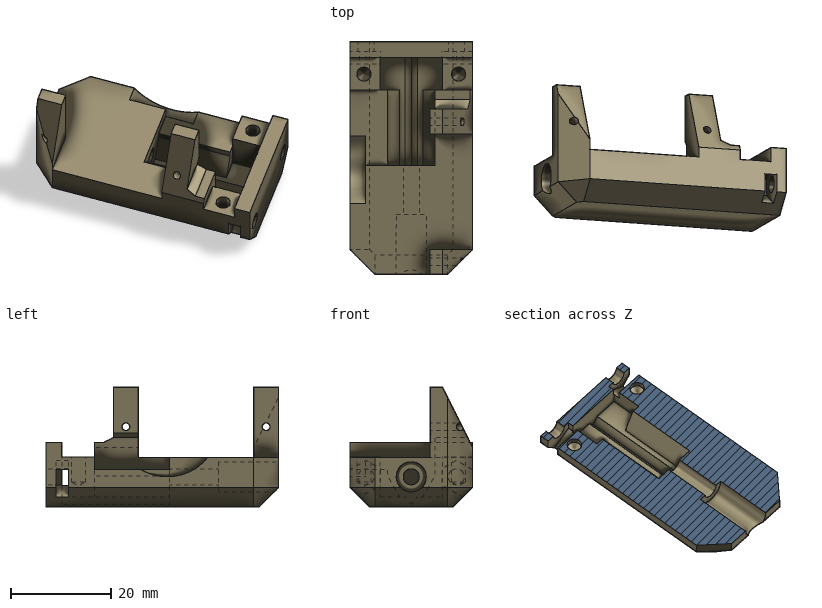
import cadquery as cq
import math


width = 24.5
length = 46.5
deck_height = 9.9
bottom_chamfer = 3.9
corner_chamfer = 5.0
half_width = width / 2

wall_thickness = 3.2
wall_height = 12.9
wall_front = length - wall_thickness
boss_width = 6.0
boss_length = 6.5
boss_height = 10.0
boss_front = wall_front - boss_length
boss_inner = half_width - boss_width

shaft_height = 6.0
bearing_diameter = 6.0
bearing_depth = 12.0
shaft_diameter = 3.2

pocket_front = 21.8
pocket_floor = 7.5
trough_half_width = 4.7
trough_floor_half_width = 2.3
trough_side_angle = 60
trough_floor = 2.0
groove_half_width = 1.2
groove_depth = 1.5

post_inner = half_width - 8.5
post_top_width = 2.5
post_length = 5.0
post_height = 23.9
post_slope = 2.0
rear_post_front = 28.0
rear_post_back = rear_post_front + post_length
pin_diameter = 1.5
pin_height = 16.0
overhang = trough_half_width - post_inner
overhang_height = 14.8
buttress_flat_front = 34.9
buttress_height = wall_height

relief_radius = 10.3
relief_depth = 3.1
relief_bottom = 6.0
relief_centre_y = 22.25

screw_diameter = 2.8
screw_depth = 5.0
screw_y = 40.0
screw_x = half_width - 2.8
drill_tip_angle = 118

nut_flats = 5.7
nut_side = nut_flats / math.sqrt(3)
nut_x = half_width - 3.25
nut_slot_front = 42.0
nut_slot_back = 44.5
nut_slot_drop_angle = 30
nut_slot_reach = 8.0
wall_screw_diameter = 3.2


def box(x0, x1, y0, y1, z0, z1):
    """Axis-aligned block between two opposite corners."""
    return cq.Workplane("XY").box(x1 - x0, y1 - y0, z1 - z0, centered=False).translate((x0, y0, z0))


def extrude_along_y(points, y0, y1):
    """Extrude an outline of (x, z) points from y0 to y1."""
    profile = cq.Workplane("XZ", origin=(0, y0, 0)).polyline(points).close()
    return profile.extrude(y0 - y1)


def extrude_along_x(points, x0, x1):
    """Extrude an outline of (y, z) points from x0 to x1."""
    profile = cq.Workplane("YZ", origin=(x0, 0, 0)).polyline(points).close()
    return profile.extrude(x1 - x0)


def cylinder_along_y(x, z, diameter, y0, y1):
    """Cylinder parallel to Y from y0 to y1."""
    return cq.Workplane("XZ", origin=(x, y0, z)).circle(diameter / 2).extrude(y0 - y1)


def cut_corner_outline(inset):
    """Plan outline with cut front corners, inset from the sides and front but not from the rear."""
    side = half_width - inset
    return [
        (-side, length),
        (-side, corner_chamfer),
        (corner_chamfer - half_width, inset),
        (half_width - corner_chamfer, inset),
        (side, corner_chamfer),
        (side, length),
    ]


def make_body():
    """Block with cut front corners that tapers to a smaller underside."""
    taper = (
        cq.Workplane("XY")
        .polyline(cut_corner_outline(bottom_chamfer)).close()
        .workplane(offset=bottom_chamfer)
        .polyline(cut_corner_outline(0)).close()
        .loft(ruled=True)
    )
    upper = (
        cq.Workplane("XY", origin=(0, 0, bottom_chamfer))
        .polyline(cut_corner_outline(0)).close()
        .extrude(deck_height - bottom_chamfer)
    )
    wall = box(-half_width, half_width, wall_front, length, bottom_chamfer, wall_height)
    boss_deck = box(-half_width, half_width, boss_front, wall_front, bottom_chamfer, boss_height)
    return taper.union(upper).union(wall).union(boss_deck)


def cut_cavities(body):
    """Pocket open to the -X side, passage between the bosses, trough and V groove."""
    pocket = box(-half_width, trough_half_width, pocket_front, boss_front, pocket_floor, boss_height)
    passage = box(-boss_inner, boss_inner, boss_front, wall_front, trough_floor, boss_height)
    side_run = trough_half_width - trough_floor_half_width
    slope_top = trough_floor + side_run * math.tan(math.radians(trough_side_angle))
    trough = extrude_along_y(
        [
            (-trough_half_width, pocket_floor),
            (-trough_half_width, slope_top),
            (-trough_floor_half_width, trough_floor),
            (trough_floor_half_width, trough_floor),
            (trough_half_width, slope_top),
            (trough_half_width, pocket_floor),
        ],
        pocket_front,
        boss_front,
    )
    groove = extrude_along_y(
        [
            (-groove_half_width, trough_floor),
            (0, trough_floor - groove_depth),
            (groove_half_width, trough_floor),
        ],
        pocket_front,
        wall_front,
    )
    return body.cut(pocket).cut(passage).cut(trough).cut(groove)


def cut_shaft_bore(body):
    """Bearing bore from the front, then the shaft hole on to the pocket."""
    bearing = cylinder_along_y(0, shaft_height, bearing_diameter, 0, bearing_depth)
    shaft = cylinder_along_y(0, shaft_height, shaft_diameter, 0, pocket_front)
    return body.cut(bearing).cut(shaft)


def make_post(y0, y1):
    """Upright with a vertical inner face and a sloping outer face."""
    slope_top = post_inner + post_top_width
    slope_end_height = post_height - post_slope * (half_width - slope_top)
    return extrude_along_y(
        [
            (post_inner, bottom_chamfer),
            (post_inner, post_height),
            (slope_top, post_height),
            (half_width, slope_end_height),
            (half_width, bottom_chamfer),
        ],
        y0,
        y1,
    )


def make_front_post():
    """Upright at the front edge, trimmed by the cut corner of the body."""
    corner_prism = (
        cq.Workplane("XY").polyline(cut_corner_outline(0)).close().extrude(post_height)
    )
    return make_post(0, post_length).intersect(corner_prism)


def make_rear_post():
    """Upright with a buttress to the boss, overhanging the pocket above a 45 degree underside."""
    block = make_post(rear_post_front, boss_front)
    shoulder_height = overhang_height - overhang
    above_buttress = extrude_along_x(
        [
            (rear_post_back, post_height),
            (rear_post_back, shoulder_height),
            (buttress_flat_front, buttress_height),
            (boss_front, buttress_height),
            (boss_front, post_height),
        ],
        post_inner,
        half_width,
    )
    below_overhang = extrude_along_y(
        [
            (post_inner, 0),
            (post_inner, overhang_height),
            (trough_half_width, shoulder_height),
            (trough_half_width, 0),
        ],
        rear_post_front,
        boss_front,
    )
    return block.cut(above_buttress).cut(below_overhang)


def cut_pin_holes(body):
    """One cross hole along X through the middle of each upright."""
    for post_front in (0, rear_post_front):
        pin_y = post_front + post_length / 2
        hole = (
            cq.Workplane("YZ", origin=(post_inner, pin_y, pin_height))
            .circle(pin_diameter / 2)
            .extrude(half_width - post_inner)
        )
        body = body.cut(hole)
    return body


def cut_finger_relief(body):
    """Shallow round scoop in the -X edge of the deck."""
    relief = (
        cq.Workplane("YZ", origin=(-half_width, relief_centre_y, relief_bottom + relief_radius))
        .circle(relief_radius)
        .extrude(relief_depth)
    )
    return body.cut(relief)


def make_boss_screw_hole(x):
    """Blind vertical hole with a conical drill tip."""
    radius = screw_diameter / 2
    tip_length = radius / math.tan(math.radians(drill_tip_angle / 2))
    return (
        cq.Workplane("XZ", origin=(x, screw_y, boss_height))
        .polyline([(0, 0), (radius, 0), (radius, -screw_depth), (0, -screw_depth - tip_length)])
        .close()
        .revolve(360, (0, 0, 0), (0, 1, 0))
    )


def make_nut_slot(side):
    """Hexagonal nut seat that runs outward and down to the side of the body."""
    drop = math.radians(nut_slot_drop_angle)
    run_x = nut_slot_reach * math.cos(drop)
    run_z = nut_slot_reach * math.sin(drop)
    half_flats = nut_flats / 2
    seat_outline = [
        (half_flats, -nut_side / 2),
        (half_flats, nut_side / 2),
        (0, nut_side),
        (-run_x, nut_side - run_z),
        (-run_x, -nut_side - run_z),
        (0, -nut_side),
    ]
    points = [(side * (nut_x - u), shaft_height + v) for u, v in seat_outline]
    return extrude_along_y(points, nut_slot_front, nut_slot_back)


def cut_fastener_holes(body):
    """Boss screw, wall screw and nut slot on both sides."""
    for side in (-1, 1):
        wall_screw = cylinder_along_y(
            side * nut_x, shaft_height, wall_screw_diameter, nut_slot_back, length
        )
        body = body.cut(make_boss_screw_hole(side * screw_x))
        body = body.cut(make_nut_slot(side)).cut(wall_screw)
    return body


result = cut_cavities(make_body())
result = cut_shaft_bore(result)
result = result.union(make_front_post()).union(make_rear_post())
result = cut_pin_holes(result)
result = cut_finger_relief(result)
result = cut_fastener_holes(result)